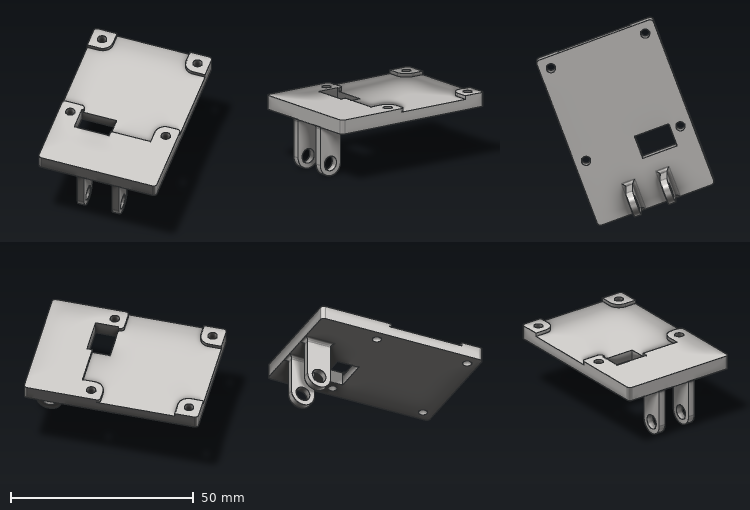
import cadquery as cq

PLATE_WIDTH = 34.0
PLATE_LENGTH = 49.0
PLATE_THICKNESS = 4.0
PLATE_CORNER_RADIUS = 1.0

RECESS_DEPTH = 1.0
RECESS_FRONT_OFFSET = 15.0
HOLE_SPACING = 27.5
HOLE_DIAMETER = 2.5
HOLE_EDGE_OFFSET = (PLATE_WIDTH - HOLE_SPACING) / 2
PAD_SIZE = 2 * HOLE_EDGE_OFFSET
PAD_CORNER_RADIUS = 3.0
PAD_SMALL_RADIUS = 1.0

WINDOW_WIDTH = 10.0
WINDOW_LENGTH = 6.5
WINDOW_LEFT_OFFSET = 6.0
WINDOW_FRONT_OFFSET = 13.5

LUG_THICKNESS = 2.0
LUG_WIDTH = 7.0
LUG_DROP = 14.75
LUG_SPACING = 10.0
LUG_FRONT_OFFSET = 1.0
LUG_HOLE_DIAMETER = 4.1
LUG_ROOT_FILLET = 0.95

RIGHT = PLATE_WIDTH / 2
LEFT = -RIGHT
REAR = PLATE_LENGTH / 2
FRONT = -REAR
RECESS_FLOOR = PLATE_THICKNESS - RECESS_DEPTH
RECESS_FRONT = FRONT + RECESS_FRONT_OFFSET
HOLE_X = HOLE_SPACING / 2
REAR_HOLE_Y = REAR - HOLE_EDGE_OFFSET
FRONT_HOLE_Y = REAR_HOLE_Y - HOLE_SPACING
FRONT_PAD_END = FRONT_HOLE_Y + HOLE_EDGE_OFFSET


def box_between(x_min, x_max, y_min, y_max, z_min, z_max):
    """Axis-aligned box given by its limits."""
    size = (x_max - x_min, y_max - y_min, z_max - z_min)
    return cq.Workplane("XY").box(*size, centered=False).translate((x_min, y_min, z_min))


def make_base():
    """Plate from the underside up to the recess floor."""
    return (
        cq.Workplane("XY")
        .rect(PLATE_WIDTH, PLATE_LENGTH)
        .extrude(RECESS_FLOOR)
        .edges("|Z")
        .fillet(PLATE_CORNER_RADIUS)
    )


def make_front_land():
    """Full-height area in front of the recess."""
    land = box_between(LEFT, RIGHT, FRONT, RECESS_FRONT, RECESS_FLOOR, PLATE_THICKNESS)
    return land.edges("|Z and <Y").fillet(PLATE_CORNER_RADIUS)


def make_pad_block(side, y_min, y_max):
    """Sharp-cornered pad along one side of the plate; side is -1 for left and +1 for right."""
    x_min, x_max = sorted((side * RIGHT, side * (RIGHT - PAD_SIZE)))
    return box_between(x_min, x_max, y_min, y_max, RECESS_FLOOR, PLATE_THICKNESS)


def side_selectors(side):
    """Edge selectors for the outer and inner flanks of a pad."""
    return (">X", "<X") if side > 0 else ("<X", ">X")


def make_rear_pad(side):
    """Raised pad at a rear corner, rounded towards the recess."""
    outer, inner = side_selectors(side)
    pad = make_pad_block(side, REAR - PAD_SIZE, REAR)
    pad = pad.edges(f"|Z and >Y and {outer}").fillet(PLATE_CORNER_RADIUS)
    return pad.edges(f"|Z and <Y and {inner}").fillet(PAD_CORNER_RADIUS)


def make_front_pad(side, inner_radius):
    """Raised pad reaching back from the front land, rounded at its rear corners."""
    outer, inner = side_selectors(side)
    pad = make_pad_block(side, RECESS_FRONT, FRONT_PAD_END)
    pad = pad.edges(f"|Z and >Y and {outer}").fillet(PAD_SMALL_RADIUS)
    return pad.edges(f"|Z and >Y and {inner}").fillet(inner_radius)


def make_lug(x_centre):
    """Round-ended lug hanging from the plate's underside."""
    end_radius = LUG_WIDTH / 2
    y_centre = FRONT + LUG_FRONT_OFFSET + end_radius
    z_centre = end_radius - LUG_DROP
    return (
        cq.Workplane("YZ", origin=(x_centre, 0, 0))
        .moveTo(y_centre - end_radius, 0)
        .lineTo(y_centre - end_radius, z_centre)
        .threePointArc((y_centre, -LUG_DROP), (y_centre + end_radius, z_centre))
        .lineTo(y_centre + end_radius, 0)
        .close()
        .moveTo(y_centre, z_centre)
        .circle(LUG_HOLE_DIAMETER / 2)
        .extrude(LUG_THICKNESS / 2, both=True)
    )


def fillet_lug_roots(body):
    """Round the joint between each lug and the plate's underside."""
    x_reach = (LUG_SPACING + LUG_THICKNESS) / 2
    y_front = FRONT + LUG_FRONT_OFFSET
    margin = LUG_FRONT_OFFSET / 2
    root_region = cq.selectors.BoxSelector(
        (-x_reach - margin, y_front - margin, -margin),
        (x_reach + margin, y_front + LUG_WIDTH + margin, margin),
    )
    return body.edges(root_region).fillet(LUG_ROOT_FILLET)


def cut_mounting_holes(body):
    """Through holes in the four corner pads."""
    centres = [(x, y) for x in (-HOLE_X, HOLE_X) for y in (FRONT_HOLE_Y, REAR_HOLE_Y)]
    holes = cq.Workplane("XY").pushPoints(centres).circle(HOLE_DIAMETER / 2).extrude(PLATE_THICKNESS)
    return body.cut(holes)


def cut_window(body):
    """Rectangular opening through the full plate thickness."""
    x_min = LEFT + WINDOW_LEFT_OFFSET
    y_min = FRONT + WINDOW_FRONT_OFFSET
    window = box_between(
        x_min, x_min + WINDOW_WIDTH, y_min, y_min + WINDOW_LENGTH, 0, PLATE_THICKNESS
    )
    return body.cut(window)


body = make_base().union(make_front_land())
for side, front_pad_radius in ((-1, PAD_SMALL_RADIUS), (1, PAD_CORNER_RADIUS)):
    body = body.union(make_rear_pad(side))
    body = body.union(make_front_pad(side, front_pad_radius))
    body = body.union(make_lug(side * LUG_SPACING / 2))
body = fillet_lug_roots(body)
body = cut_mounting_holes(body)
result = cut_window(body)